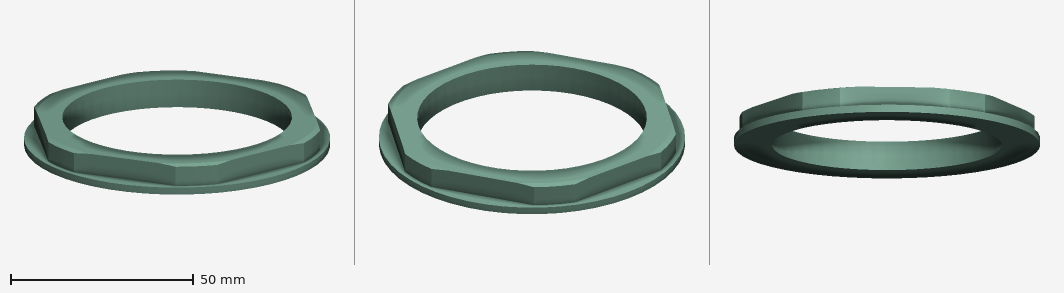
import cadquery as cq

flange_diameter = 84
flange_height = 2.0
bore_diameter = 63
total_height = 8.0

across_flats = 75.2
corner_diameter = 81.0
bevel_top_diameter = 77.8
bevel_drop = 0.4


def make_flange():
    return cq.Workplane("XY").circle(flange_diameter / 2).extrude(flange_height)


def make_hexagon():
    """Hexagonal prism with two flats facing +X and -X."""
    return cq.Workplane("XY").polygon(6, across_flats, circumscribed=True).extrude(total_height)


def make_corner_envelope():
    """Cylinder with a shallow conical top edge that trims the hexagon corners."""
    bevel_width = (corner_diameter - bevel_top_diameter) / 2
    return (
        cq.Workplane("XY")
        .circle(corner_diameter / 2)
        .extrude(total_height)
        .faces(">Z")
        .edges()
        .chamfer(bevel_drop, bevel_width)
    )


def make_bore():
    return cq.Workplane("XY").circle(bore_diameter / 2).extrude(total_height)


hexagon = make_hexagon().intersect(make_corner_envelope())
result = make_flange().union(hexagon).cut(make_bore())